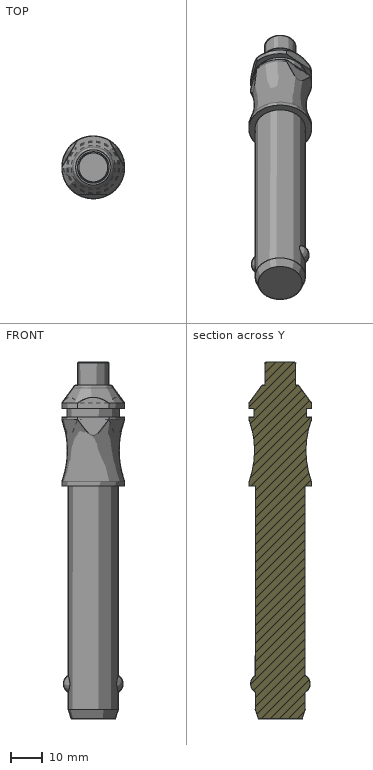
import cadquery as cq
import math

TOTAL_HEIGHT = 113.5
SHANK_LENGTH = 74.0
HANDLE_TOP = 106.1

SHANK_RADIUS = 8.0
TIP_RADIUS = 7.0
TIP_HEIGHT = 3.0

BALL_RADIUS = 3.1
BALL_HEIGHT = 11.15
BALL_PROTRUSION = 1.5

HANDLE_RADIUS = 10.0
WAIST_RADIUS = 8.25
GRIP_BAND_BOTTOM = 75.4
GRIP_BAND_TOP = 95.2
WAIST_HEIGHT = (GRIP_BAND_BOTTOM + GRIP_BAND_TOP) / 2
GROOVE_BOTTOM = 95.9
GROOVE_TOP = 98.65
GROOVE_RADIUS = 8.4
CONE_BOTTOM = 100.4
CONE_TOP = 105.2
CONE_TOP_RADIUS = 6.5
HEAD_RIM_RADIUS = 5.6
HEAD_ROUND_RADIUS = 1.5

BUTTON_RADIUS = 5.0
BUTTON_CHAMFER = 0.4

FLAT_COUNT = 3
FLAT_WIDTH = 10.0
FLAT_DISTANCE = math.sqrt(HANDLE_RADIUS**2 - (FLAT_WIDTH / 2) ** 2)
FLAT_BOTTOM = WAIST_HEIGHT


def make_body():
    """Revolve the half profile, drawn as (radius, height), about the Z axis."""
    profile = (
        cq.Workplane("XZ")
        .lineTo(TIP_RADIUS, 0)
        .lineTo(SHANK_RADIUS, TIP_HEIGHT)
        .lineTo(SHANK_RADIUS, SHANK_LENGTH)
        .lineTo(HANDLE_RADIUS, SHANK_LENGTH)
        .lineTo(HANDLE_RADIUS, GRIP_BAND_BOTTOM)
        .threePointArc((WAIST_RADIUS, WAIST_HEIGHT), (HANDLE_RADIUS, GRIP_BAND_TOP))
        .lineTo(HANDLE_RADIUS, GROOVE_BOTTOM)
        .lineTo(GROOVE_RADIUS, GROOVE_BOTTOM)
        .lineTo(GROOVE_RADIUS, GROOVE_TOP)
        .lineTo(HANDLE_RADIUS, GROOVE_TOP)
        .lineTo(HANDLE_RADIUS, CONE_BOTTOM)
        .lineTo(CONE_TOP_RADIUS, CONE_TOP)
        .radiusArc((HEAD_RIM_RADIUS, HANDLE_TOP), -HEAD_ROUND_RADIUS)
        .lineTo(BUTTON_RADIUS, HANDLE_TOP)
        .lineTo(BUTTON_RADIUS, TOTAL_HEIGHT - BUTTON_CHAMFER)
        .lineTo(BUTTON_RADIUS - BUTTON_CHAMFER, TOTAL_HEIGHT)
        .lineTo(0, TOTAL_HEIGHT)
        .close()
    )
    return profile.revolve(360, (0, 0), (0, 1))


def cut_flats(body):
    """Cut equally spaced flats, the first facing -Y, from the waist to the head."""
    block = cq.Workplane("XY").box(
        2 * HANDLE_RADIUS,
        HANDLE_RADIUS,
        HANDLE_TOP - FLAT_BOTTOM,
        centered=(True, False, False),
    )
    block = block.translate((0, -FLAT_DISTANCE - HANDLE_RADIUS, FLAT_BOTTOM))
    for index in range(FLAT_COUNT):
        angle = index * 360 / FLAT_COUNT
        body = body.cut(block.rotate((0, 0, 0), (0, 0, 1), angle))
    return body


def add_balls(body):
    """Seat the two locking balls in the shank."""
    offset = SHANK_RADIUS + BALL_PROTRUSION - BALL_RADIUS
    for side in (-1, 1):
        ball = cq.Workplane("XY").sphere(BALL_RADIUS)
        body = body.union(ball.translate((side * offset, 0, BALL_HEIGHT)))
    return body


result = add_balls(cut_flats(make_body()))